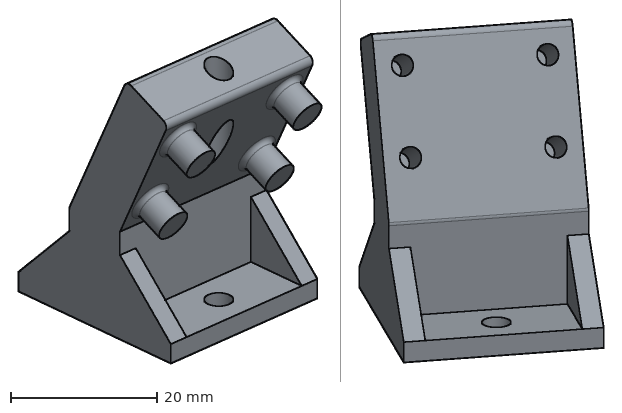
import cadquery as cq
import math

width = 28.0
base_length = 30.05
base_height = 3.0
neck_left = 10.0
neck_right = base_length - neck_left
neck_bottom = base_height + neck_left
rib_thickness = 3.0
screw_hole_diameter = 4.0
screw_hole_inset = neck_left / 2

lean_angle = 25.4
bend_height = 16.6
plate_length = 26.3
edge_radius = 1.0

hole_diameter = 3.0
hole_spacing_y = 20.35
hole_spacing_along = 12.75
lower_hole_along = 8.9
pin_diameter = 5.0
pin_length = 5.05
pin_root_radius = 0.75

lean = math.radians(lean_angle)
plate_thickness = (neck_right - neck_left) * math.cos(lean)


def plate_point(along, depth):
    """X and Z of a point measured up the plate's left face and in from it."""
    x = neck_left + along * math.sin(lean) + depth * math.cos(lean)
    z = bend_height + along * math.cos(lean) - depth * math.sin(lean)
    return x, z


def make_body():
    top_left = plate_point(plate_length, 0)
    top_right = plate_point(plate_length, plate_thickness)
    outline = [
        (0, 0),
        (base_length, 0),
        (base_length, base_height),
        (neck_right, neck_bottom),
        (neck_right, bend_height),
        top_right,
        top_left,
        (neck_left, bend_height),
        (neck_left, neck_bottom),
        (0, base_height),
    ]
    body = cq.Workplane("XZ").polyline(outline).close().extrude(width / 2, both=True)
    for x, z in (top_left, top_right, (neck_left, bend_height)):
        edge = cq.selectors.NearestToPointSelector((x, 0, z))
        body = body.edges(edge).fillet(edge_radius)
    return body


def make_pocket(start_x):
    """Space between the two ribs on one side of the neck."""
    return cq.Workplane("XY").box(
        neck_left,
        width - 2 * rib_thickness,
        neck_bottom - base_height,
        centered=(False, True, False),
    ).translate((start_x, 0, base_height))


def plate_cylinder(along, y, depth, diameter, length):
    """Cylinder square to the plate, starting at the given depth."""
    x, z = plate_point(along, depth)
    axis = cq.Vector(math.cos(lean), 0, -math.sin(lean))
    return cq.Workplane(cq.Solid.makeCylinder(diameter / 2, length, cq.Vector(x, y, z), axis))


def make_pin(along, y):
    """Pin with a concave flare where it meets the plate."""
    radius = pin_diameter / 2
    x, z = plate_point(along, plate_thickness)
    root = cq.Plane((x, y, z), xDir=(0, 1, 0), normal=(math.sin(lean), 0, math.cos(lean)))
    flare_middle = pin_root_radius * (1 - math.sqrt(0.5))
    return (
        cq.Workplane(root)
        .polyline([(radius, -pin_root_radius), (radius, -pin_length), (0, -pin_length), (0, 0)])
        .lineTo(radius + pin_root_radius, 0)
        .threePointArc((radius + flare_middle, -flare_middle), (radius, -pin_root_radius))
        .close()
        .revolve(360, (0, 0), (0, 1))
    )


result = make_body()
for pocket_start in (0, neck_right):
    result = result.cut(make_pocket(pocket_start))

screw_positions = [(screw_hole_inset, 0), (base_length - screw_hole_inset, 0)]
through_height = bend_height + plate_length
screw_holes = cq.Workplane("XY").pushPoints(screw_positions)
result = result.cut(screw_holes.circle(screw_hole_diameter / 2).extrude(through_height))

for hole_along in (lower_hole_along, lower_hole_along + hole_spacing_along):
    for hole_y in (-hole_spacing_y / 2, hole_spacing_y / 2):
        result = result.union(make_pin(hole_along, hole_y))
        result = result.cut(plate_cylinder(hole_along, hole_y, 0, hole_diameter, plate_thickness))